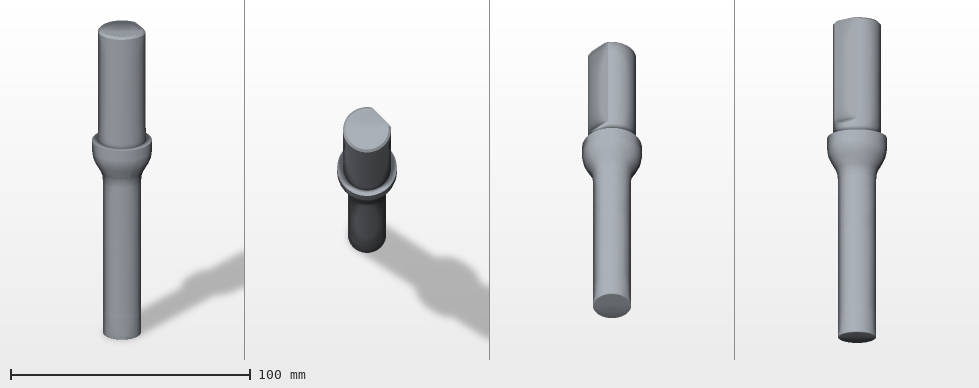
import cadquery as cq

total_length = 137.0
collar_top = 87.0
collar_bottom = 82.0
neck_top = 69.0
taper_top = 64.0
taper_bottom = 41.4
step_top = 12.5
tip_length = 9.6

shank_diameter = 20.0
collar_diameter = 25.0
neck_diameter = 16.0
stem_diameter = 15.9
tip_diameter = 16.0

shank_chamfer = 1.0
tip_rounding = 0.4
flat_distance = 8.1
flat_runout_bottom = 91.1

shank_radius = shank_diameter / 2
collar_radius = collar_diameter / 2
neck_radius = neck_diameter / 2
stem_radius = stem_diameter / 2
tip_radius = tip_diameter / 2


def make_turned_body():
    """Shank, collar, S-shaped flare, neck, taper, stem and conical step, turned about Z."""
    return (
        cq.Workplane("XZ")
        .moveTo(0, tip_length)
        .lineTo(tip_radius, tip_length)
        .lineTo(stem_radius, step_top)
        .lineTo(stem_radius, taper_bottom)
        .lineTo(neck_radius, taper_top)
        .lineTo(neck_radius, neck_top)
        .spline([(collar_radius, collar_bottom)], tangents=[(0, 1), (0, 1)], includeCurrent=True)
        .lineTo(collar_radius, collar_top)
        .lineTo(shank_radius, collar_top)
        .lineTo(shank_radius, total_length - shank_chamfer)
        .lineTo(shank_radius - shank_chamfer, total_length)
        .lineTo(0, total_length)
        .close()
        .revolve(360, (0, 0), (0, 1))
    )


def make_flat_cutter():
    """Prism that removes the +Y side of the shank, ending in a 45 degree run-out."""
    flat_depth = shank_radius - flat_distance
    return (
        cq.Workplane("YZ")
        .moveTo(shank_radius, flat_runout_bottom)
        .lineTo(flat_distance, flat_runout_bottom + flat_depth)
        .lineTo(flat_distance, total_length)
        .lineTo(shank_radius, total_length)
        .close()
        .extrude(shank_radius, both=True)
    )


def make_tip():
    """Cylindrical tip with a rounded lower rim, seated against the body's end face."""
    return (
        cq.Workplane("XY")
        .circle(tip_radius)
        .extrude(tip_length)
        .faces("<Z")
        .edges()
        .fillet(tip_rounding)
    )


tool_body = make_turned_body().cut(make_flat_cutter()).solids()
tip = make_tip()

result = cq.Compound.makeCompound([tool_body.val(), tip.val()])